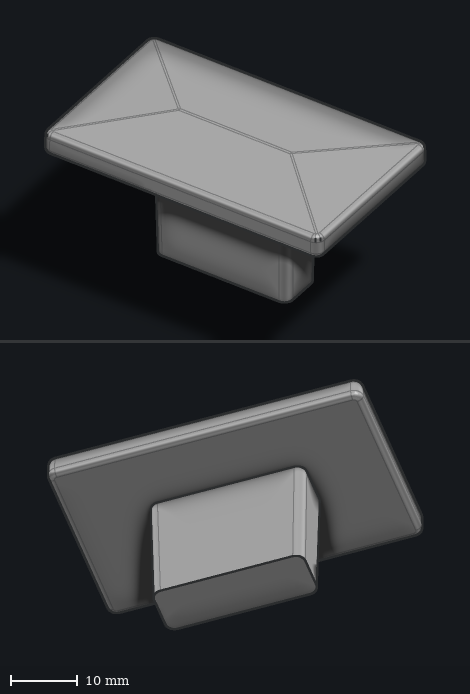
import cadquery as cq
import math

length = 49.95
depth = 30.0
height = 25.0

plate_bottom = 20.0
plate_corner_radius = 1.5
plate_edge_radius = 1.0

roof_slope = 4.0
ridge_radius = 3.5

stem_length = 24.0
stem_depth = 8.0
stem_corner_radius = 1.5

draft = 1.0

slope_radians = math.radians(roof_slope)
draft_radians = math.radians(draft)

edge_trim = plate_edge_radius * (math.tan(draft_radians) + 1 / math.cos(draft_radians) - 1)
sharp_length = length + 2 * edge_trim
sharp_depth = depth + 2 * edge_trim


def gable(plane, span, run, peak):
    """Block with a symmetric two-sided roof across its span, centred along its run."""
    eave = peak - span / 2 * math.tan(slope_radians)
    outline = [
        (-span / 2, plate_bottom),
        (span / 2, plate_bottom),
        (span / 2, eave),
        (0, peak),
        (-span / 2, eave),
    ]
    return cq.Workplane(plane).polyline(outline).close().extrude(run / 2, both=True)


def make_rounded_roof():
    """Hipped block whose ridge and hips are rounded; it reaches past the plate on all sides."""
    core_ridge = height - ridge_radius
    end_peak = core_ridge + (sharp_length - sharp_depth) / 2 * math.tan(slope_radians)
    long_slopes = gable("YZ", sharp_depth, sharp_length, core_ridge)
    end_slopes = gable("XZ", sharp_length, sharp_depth, end_peak)
    core = long_slopes.intersect(end_slopes).solids()
    skin = core.shell(ridge_radius, kind="arc")
    return skin.union(core)


def drafted_block(base_length, base_depth, block_height, corner_radius):
    """Block on Z = 0 that narrows upward by the draft, with its four corners rounded."""
    return (
        cq.Workplane("XY")
        .rect(base_length, base_depth)
        .extrude(block_height, taper=draft)
        .edges("not #Z")
        .fillet(corner_radius)
    )


def select_roof_rim():
    """Selector for the edges between the roof and the sides of the plate."""
    roof_foot = height - depth / 2 * math.tan(slope_radians)
    below_rim = roof_foot - plate_edge_radius
    inner_x = length / 2 - plate_corner_radius
    inner_y = depth / 2 - plate_corner_radius
    whole_roof = cq.selectors.BoxSelector((-length, -depth, below_rim), (length, depth, height))
    roof_lines = cq.selectors.BoxSelector((-inner_x, -inner_y, below_rim), (inner_x, inner_y, height))
    return whole_roof - roof_lines


def make_plate():
    """Drafted plate under the hipped roof, with rounded corners and rims."""
    block = drafted_block(sharp_length, sharp_depth, height - plate_bottom, plate_corner_radius)
    plate = block.translate((0, 0, plate_bottom)).intersect(make_rounded_roof())
    plate = plate.faces("<Z").edges().fillet(plate_edge_radius)
    return plate.edges(select_roof_rim()).fillet(plate_edge_radius)


def make_stem():
    """Stem that widens upward to the underside of the plate."""
    widening = 2 * plate_bottom * math.tan(draft_radians)
    stem = drafted_block(
        stem_length + widening,
        stem_depth + widening,
        plate_bottom,
        stem_corner_radius,
    )
    return stem.rotate((0, 0, 0), (1, 0, 0), 180).translate((0, 0, plate_bottom))


result = make_plate().union(make_stem())